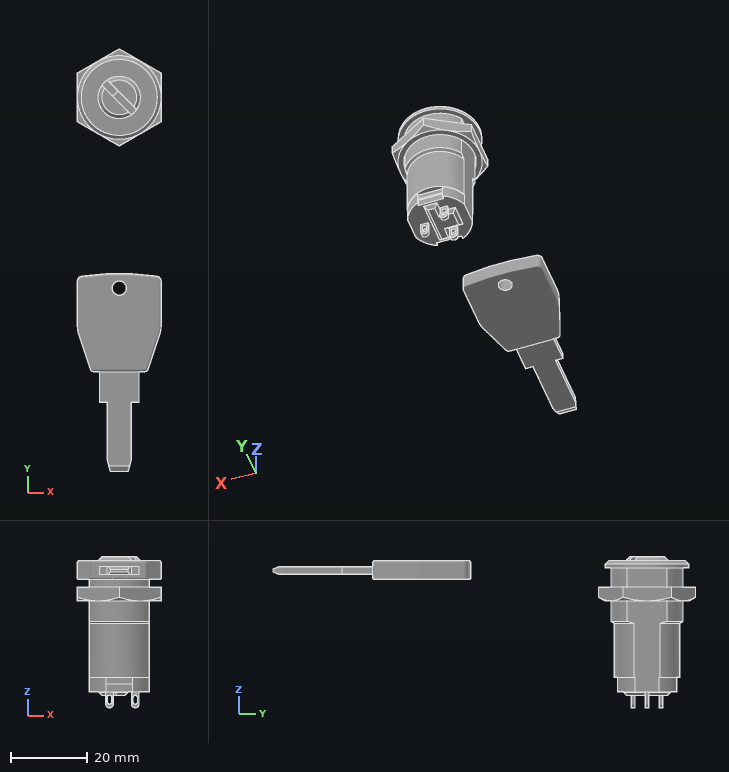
import cadquery as cq
import math


flange_radius = 11.0
flange_chamfer = 1.0
flange_bottom = -2.0
neck_diameter = 18.9
neck_radius = neck_diameter / 2
neck_bottom = -16.5
barrel_radius = 8.6
neck_chamfer = 0.5
barrel_bottom = -30.7
base_radius = 8.5
base_bottom = -34.4
housing_width = 15.8

recess_width = 7.0
upper_recess_face = 7.2
lower_recess_face = 6.9
recess_step = -32.3

boss_height = 1.0
boss_left = -5.3
boss_right = 2.3
boss_bar_length = 12.3
boss_bar_width = 3.7
boss_stem_width = 6.0
boss_chamfer = 0.9
terminal_tip = -38.6
terminal_width = 2.0
terminal_thickness = 1.0
outer_terminal_x = -2.5
middle_terminal_x = 4.2
terminal_pitch = 3.7
eyelet_width = 1.1
eyelet_length = 2.3
eyelet_edge_distance = 1.0

nut_across_flats = 22.0
nut_top = -7.0
nut_thickness = 3.7
nut_face_radius = nut_across_flats / 2
nut_corner_radius = nut_across_flats / math.sqrt(3)
nut_chamfer_angle = 30
nut_turn = 30

plug_radius = 5.5
plug_rise = 1.0
plug_length = 22.1
slot_angle = -45
keyhole_inner_end = -1.4

total_length = 110.6
key_tip = nut_corner_radius - total_length
blade_thickness = 2.0
blade_width = 6.3
blade_top = -1.7
blade_length = 18.1
blade_tip_width = 4.6
blade_tip_taper = 3.0
blade_bevel_length = 1.4
blade_bevel_height = 0.7
shoulder_width = 10.4
shoulder_length = 8.0
bow_length = 25.8
bow_width = 22.0
bow_thickness = 5.0
bow_end_width = 14.7
bow_crown = 0.9
bow_straight_length = 14.8
bow_far_corner_radius = 1.4
bow_near_corner_radius = 1.1
bow_bend_radius = 7.5
bow_top_round = 0.7
bow_bottom_round = 0.3
ring_hole_diameter = 3.7
ring_hole_inset = 3.9

key_shoulder = key_tip + blade_length
bow_near_edge = key_shoulder + shoulder_length
bow_crown_edge = bow_near_edge + bow_length


def base_recess(face, top):
    """Cutter that leaves base faces at +/- face, from the height top down to the base bottom."""
    depth = barrel_radius - face
    height = top - base_bottom
    return (
        cq.Workplane("XY", origin=(0, 0, base_bottom))
        .pushPoints([(0, side * (face + depth / 2)) for side in (-1, 1)])
        .rect(recess_width, depth)
        .extrude(height)
    )


def make_boss():
    """T-shaped boss: a bar along Y and a stem towards -X, which passes between the outer terminals."""
    bottom = base_bottom - boss_height
    bar = (
        cq.Workplane("XY", origin=(boss_right - boss_bar_width / 2, 0, bottom))
        .rect(boss_bar_width, boss_bar_length)
        .extrude(boss_height)
    )
    stem = (
        cq.Workplane("XY", origin=((boss_left + boss_right) / 2, 0, bottom))
        .rect(boss_right - boss_left, boss_stem_width)
        .extrude(boss_height)
    )
    return bar.union(stem).faces("<Z").chamfer(boss_chamfer)


def make_terminal(x, y):
    """Flat solder tag with a round tip and an oblong eyelet."""
    tip_radius = terminal_width / 2
    tip_center = terminal_tip + tip_radius
    eyelet_center = terminal_tip + eyelet_edge_distance + eyelet_length / 2
    return (
        cq.Workplane("XZ", origin=(x, y + terminal_thickness / 2, 0))
        .moveTo(-tip_radius, base_bottom)
        .lineTo(-tip_radius, tip_center)
        .threePointArc((0, terminal_tip), (tip_radius, tip_center))
        .lineTo(tip_radius, base_bottom)
        .close()
        .moveTo(0, eyelet_center)
        .slot2D(eyelet_length, eyelet_width, 90)
        .extrude(terminal_thickness)
    )


def make_housing():
    turned = (
        cq.Workplane("XZ")
        .moveTo(0, base_bottom)
        .lineTo(base_radius, base_bottom)
        .lineTo(base_radius, barrel_bottom)
        .lineTo(barrel_radius, barrel_bottom)
        .lineTo(barrel_radius, neck_bottom)
        .lineTo(neck_radius, neck_bottom + neck_chamfer)
        .lineTo(neck_radius, flange_bottom)
        .lineTo(0, flange_bottom)
        .close()
        .revolve(360, (0, 0), (0, 1))
    )
    flats = cq.Workplane("XY", origin=(0, 0, base_bottom)).rect(
        housing_width, neck_diameter
    ).extrude(flange_bottom - base_bottom)
    flange = (
        cq.Workplane("XY", origin=(0, 0, flange_bottom))
        .circle(flange_radius)
        .extrude(-flange_bottom)
        .faces(">Z")
        .chamfer(flange_chamfer)
    )
    plug_bore = cq.Workplane("XY").circle(plug_radius).extrude(-plug_length)
    housing = (
        turned.intersect(flats)
        .union(flange)
        .cut(plug_bore)
        .cut(base_recess(upper_recess_face, barrel_bottom))
        .cut(base_recess(lower_recess_face, recess_step))
        .union(make_boss())
    )
    terminal_places = (
        (outer_terminal_x, -terminal_pitch),
        (middle_terminal_x, 0),
        (outer_terminal_x, terminal_pitch),
    )
    for x, y in terminal_places:
        housing = housing.union(make_terminal(x, y))
    return housing


def make_nut():
    """Hexagon with two flats facing +/-X, its lower corners turned off by a cone."""
    bottom = nut_top - nut_thickness
    hexagon = (
        cq.Workplane("XY", origin=(0, 0, bottom))
        .polygon(6, 2 * nut_corner_radius)
        .extrude(nut_thickness)
        .rotate((0, 0, 0), (0, 0, 1), nut_turn)
    )
    cone_height = (nut_corner_radius - nut_face_radius) * math.tan(math.radians(nut_chamfer_angle))
    turned = (
        cq.Workplane("XZ")
        .moveTo(neck_radius, bottom)
        .lineTo(nut_face_radius, bottom)
        .lineTo(nut_corner_radius, bottom + cone_height)
        .lineTo(nut_corner_radius, nut_top)
        .lineTo(neck_radius, nut_top)
        .close()
        .revolve(360, (0, 0), (0, 1))
    )
    return hexagon.intersect(turned)


def make_plug():
    """Turning cylinder with a slot down to the flange face and a deep keyhole in part of it."""
    body = (
        cq.Workplane("XY", origin=(0, 0, -plug_length))
        .circle(plug_radius)
        .extrude(plug_length + plug_rise)
        .faces(">Z")
        .chamfer(plug_rise)
    )
    slot = cq.Workplane("XY").rect(2 * plug_radius, blade_thickness).extrude(plug_rise)
    keyhole_length = plug_radius - keyhole_inner_end
    keyhole = (
        cq.Workplane("XY")
        .center(keyhole_inner_end + keyhole_length / 2, 0)
        .rect(keyhole_length, blade_thickness)
        .extrude(-blade_length)
    )
    opening = slot.union(keyhole).rotate((0, 0, 0), (0, 0, 1), slot_angle)
    return body.cut(opening)


def make_bow():
    """Grip of the key: a crowned far edge, straight sides and a taper towards the blade."""
    half_width = bow_width / 2
    half_end = bow_end_width / 2
    corner_y = bow_crown_edge - bow_crown
    taper_y = bow_crown_edge - bow_straight_length
    bow = (
        cq.Workplane("XY", origin=(0, 0, -bow_thickness))
        .moveTo(-half_end, bow_near_edge)
        .lineTo(half_end, bow_near_edge)
        .lineTo(half_width, taper_y)
        .lineTo(half_width, corner_y)
        .threePointArc((0, bow_crown_edge), (-half_width, corner_y))
        .lineTo(-half_width, taper_y)
        .close()
        .extrude(bow_thickness)
    )
    bow = bow.edges("|Z").edges(">Y").fillet(bow_far_corner_radius)
    bow = bow.edges("|Z").edges("<Y").fillet(bow_near_corner_radius)
    bend_margin = 0.1
    bends = cq.selectors.BoxSelector(
        (-bow_width, taper_y - bend_margin, -bow_thickness),
        (bow_width, taper_y + bend_margin, 0),
    )
    bow = bow.edges("|Z").edges(bends).fillet(bow_bend_radius)
    bow = bow.faces(">Z").edges().fillet(bow_top_round)
    bow = bow.faces("<Z").edges().fillet(bow_bottom_round)
    ring_hole = (
        cq.Workplane("XY")
        .center(0, bow_crown_edge - ring_hole_inset)
        .circle(ring_hole_diameter / 2)
        .extrude(-bow_thickness)
    )
    return bow.cut(ring_hole)


def make_blade():
    """Shoulder and blade of the key, with a tapered and bevelled tip."""
    bottom = blade_top - blade_thickness
    half_blade = blade_width / 2
    half_tip = blade_tip_width / 2
    shoulder = (
        cq.Workplane("XY", origin=(0, key_shoulder + shoulder_length / 2, bottom))
        .rect(shoulder_width, shoulder_length)
        .extrude(blade_thickness)
    )
    shank = (
        cq.Workplane("XY", origin=(0, 0, bottom))
        .moveTo(-half_blade, key_shoulder)
        .lineTo(-half_blade, key_tip + blade_tip_taper)
        .lineTo(-half_tip, key_tip)
        .lineTo(half_tip, key_tip)
        .lineTo(half_blade, key_tip + blade_tip_taper)
        .lineTo(half_blade, key_shoulder)
        .close()
        .extrude(blade_thickness)
    )
    bevel_start = key_tip + blade_bevel_length
    side_profile = (
        cq.Workplane("YZ", origin=(-half_blade, 0, 0))
        .moveTo(key_shoulder, bottom)
        .lineTo(bevel_start, bottom)
        .lineTo(key_tip, bottom + blade_bevel_height)
        .lineTo(key_tip, blade_top - blade_bevel_height)
        .lineTo(bevel_start, blade_top)
        .lineTo(key_shoulder, blade_top)
        .close()
        .extrude(blade_width)
    )
    return shoulder.union(shank.intersect(side_profile))


def make_key():
    return make_bow().union(make_blade())


housing = make_housing()
nut = make_nut()
plug = make_plug()
key = make_key()

result = cq.Compound.makeCompound([housing.val(), nut.val(), plug.val(), key.val()])